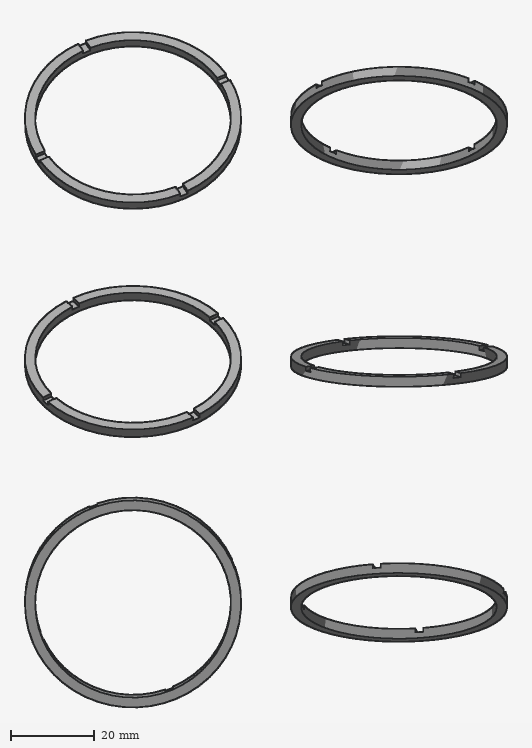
import cadquery as cq

outer_diameter = 52.0
wall = 2.5
height = 2.5
inner_diameter = outer_diameter - 2 * wall

notch_width = 2.0
notch_depth = 1.0
notch_length = outer_diameter + 2 * wall


def make_ring():
    return cq.Workplane("XY").circle(outer_diameter / 2).circle(inner_diameter / 2).extrude(height)


def make_notch_bar(angle):
    """Bar across the full ring that cuts two opposite notches."""
    bar = cq.Workplane("XY").workplane(offset=height - notch_depth)
    bar = bar.rect(notch_length, notch_width).extrude(notch_depth)
    return bar.rotate((0, 0, 0), (0, 0, 1), angle)


result = make_ring()
for notch_angle in (0, 90):
    result = result.cut(make_notch_bar(notch_angle))